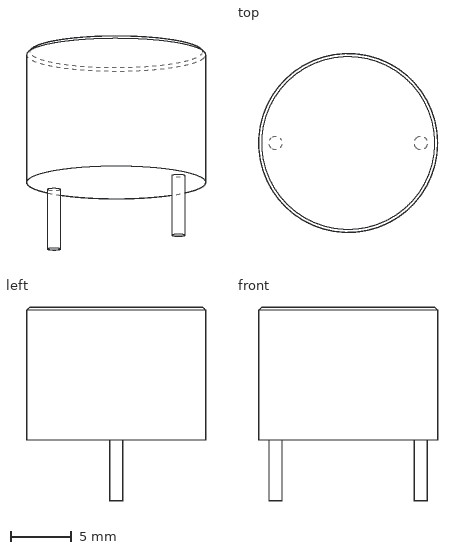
import cadquery as cq

total_height = 16.0
body_diameter = 14.8

pin_diameter = 1.1
pin_length = 5.0
pin_spacing = 12.0

top_chamfer = 0.25

body_height = total_height - pin_length


def make_body():
    """Round can standing on Z = 0 with a bevelled top edge."""
    can = cq.Workplane("XY").circle(body_diameter / 2).extrude(body_height)
    return can.faces(">Z").edges().chamfer(top_chamfer)


def make_pins():
    """Pair of pins along X, hanging down from the underside of the can."""
    pin_centers = [(-pin_spacing / 2, 0), (pin_spacing / 2, 0)]
    return cq.Workplane("XY").pushPoints(pin_centers).circle(pin_diameter / 2).extrude(-pin_length)


result = make_body().union(make_pins())